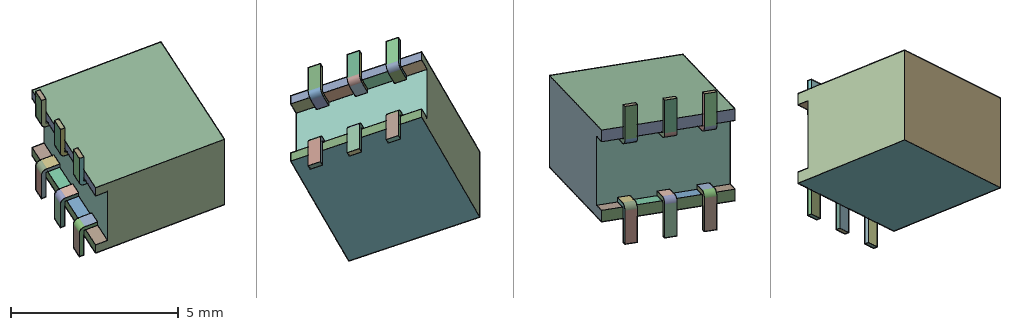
import cadquery as cq

body_width = 4.27
body_height = 3.0
overall_depth = 4.5
overall_height = 4.5

lip_thickness = 0.38
recess_depth = 0.4

lead_count = 3
lead_pitch = 1.27
lead_width = 0.4
lead_thickness = 0.15
lead_standoff = 0.06
bend_inner_radius = 0.04
bend_outer_radius = bend_inner_radius + lead_thickness

body_depth = overall_depth - lead_standoff - lead_thickness
recess_height = body_height - 2 * lip_thickness
lead_front_y = -(lead_standoff + lead_thickness)
lead_tip_z = overall_height / 2
lead_foot_z = recess_height / 2 - lead_thickness


def make_body():
    """Block with a full-width recess in its front face."""
    block = cq.Workplane("XY").box(body_width, body_depth, body_height, centered=(True, False, True))
    recess = cq.Workplane("XY").box(body_width, recess_depth, recess_height, centered=(True, False, True))
    return block.cut(recess)


def make_upper_lead(center_x):
    """Strip that runs out under the upper lip, bends and rises in front of it."""
    lead_back_y = -lead_standoff
    lead_foot_top_z = lead_foot_z + lead_thickness
    bend_y = lead_front_y + bend_outer_radius
    bend_z = lead_foot_z + bend_outer_radius
    return (
        cq.Workplane("YZ", origin=(center_x, 0, 0))
        .moveTo(recess_depth, lead_foot_z)
        .lineTo(bend_y, lead_foot_z)
        .tangentArcPoint((lead_front_y, bend_z), relative=False)
        .lineTo(lead_front_y, lead_tip_z)
        .lineTo(lead_back_y, lead_tip_z)
        .lineTo(lead_back_y, bend_z)
        .tangentArcPoint((bend_y, lead_foot_top_z), relative=False)
        .lineTo(recess_depth, lead_foot_top_z)
        .close()
        .extrude(lead_width / 2, both=True)
    )


result = make_body()
for index in range(lead_count):
    lead_x = (index - (lead_count - 1) / 2) * lead_pitch
    upper_lead = make_upper_lead(lead_x)
    lower_lead = upper_lead.mirror("XY")
    result = result.union(upper_lead).union(lower_lead)